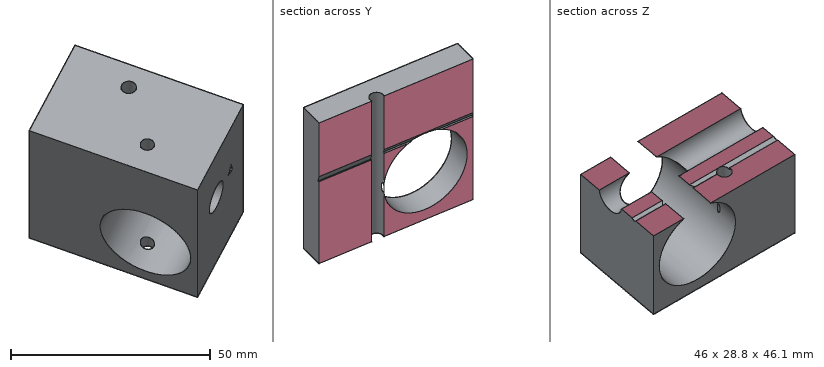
import cadquery as cq

length_x = 46.02
depth_y = 28.79
height_z = 46.10
left_x = -length_x / 2
back_y = depth_y / 2
bottom_z = -height_z / 2

bore_diameter = 24.76
bore_x = 8.77
bore_z = -7.23

cross_hole_diameter = 8.72
cross_hole_y = -2.62
cross_hole_z = 4.92

rear_hole_diameter = 3.81
rear_hole_x = -5.43
rear_hole_y = 7.80
front_hole_diameter = 3.52
front_hole_x = 5.87
front_hole_y = -6.55

triangle_top = (6.86, 6.75)
triangle_front = (4.93, 4.71)
triangle_rear = (7.69, 3.72)
upper_side_cut_share = 0.28
lower_side_cut_share = 0.24


def make_block():
    return cq.Workplane("XY").box(length_x, depth_y, height_z)


def bore_cutter():
    plane = cq.Workplane("XZ", origin=(bore_x, back_y, bore_z))
    return plane.circle(bore_diameter / 2).extrude(depth_y)


def cross_hole_cutter():
    plane = cq.Workplane("YZ", origin=(left_x, cross_hole_y, cross_hole_z))
    return plane.circle(cross_hole_diameter / 2).extrude(length_x)


def vertical_hole_cutter(diameter, x, y):
    plane = cq.Workplane("XY", origin=(x, y, bottom_z))
    return plane.circle(diameter / 2).extrude(height_z)


def point_between(start, end, share):
    return tuple(a + share * (b - a) for a, b in zip(start, end))


def prism_along_x(corners, start_x, end_x):
    plane = cq.Workplane("YZ", origin=(start_x, 0, 0))
    return plane.polyline(corners).close().extrude(end_x - start_x)


def cut_triangular_hole(body):
    """Full triangle up to the rear vertical hole, clipped triangle from there to the right face."""
    upper_cut = point_between(triangle_rear, triangle_top, upper_side_cut_share)
    lower_cut = point_between(triangle_rear, triangle_front, lower_side_cut_share)
    full_corners = [triangle_top, triangle_front, triangle_rear]
    clipped_corners = [triangle_top, triangle_front, lower_cut, upper_cut]
    body = body.cut(prism_along_x(full_corners, left_x, rear_hole_x))
    return body.cut(prism_along_x(clipped_corners, rear_hole_x, length_x / 2))


result = make_block()
result = result.cut(bore_cutter())
result = result.cut(cross_hole_cutter())
result = result.cut(vertical_hole_cutter(rear_hole_diameter, rear_hole_x, rear_hole_y))
result = result.cut(vertical_hole_cutter(front_hole_diameter, front_hole_x, front_hole_y))
result = cut_triangular_hole(result)